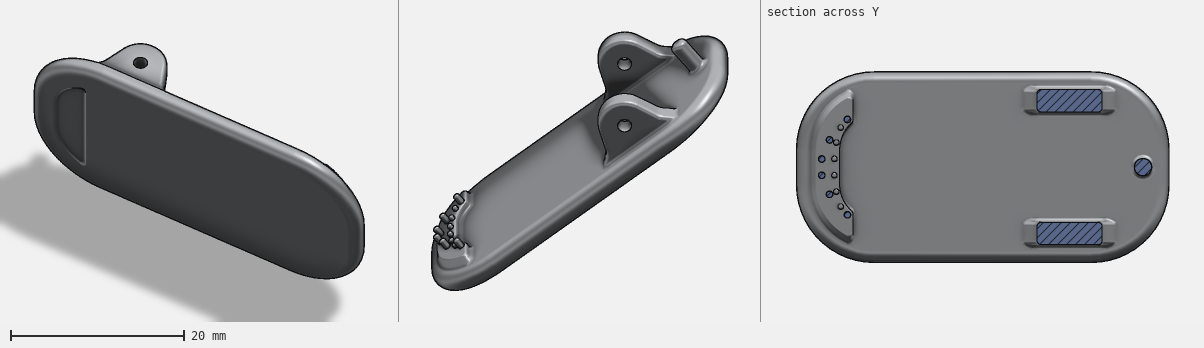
import cadquery as cq
import math

LENGTH = 43.0
HEIGHT = 22.0
THICKNESS = 2.5
CORNER_RADIUS = 9.0
RIM_RADIUS = THICKNESS / 2
CORNER_X = LENGTH / 2 - CORNER_RADIUS
CORNER_Z = HEIGHT / 2 - CORNER_RADIUS

RECESS_RADIUS = 5.85
RECESS_FLAT_X = -14.25
RECESS_DEPTH = 0.3
RECESS_WALL_DRAFT = 40.0
RECESS_CORNER_RADIUS = 0.55
RECESS_FLOOR_FILLET = 0.47
RECESS_RIM_FILLET = 0.3

LUG_X = -10.0
LUG_Z = 7.65
LUG_HEIGHT = 6.05
LUG_TIP_RADIUS = 3.05
LUG_HOLE_HEIGHT = LUG_HEIGHT - LUG_TIP_RADIUS
LUG_BASE_HALF_WIDTH = 5.4
LUG_FLARE_HEIGHT = 1.38
LUG_TIP_THICKNESS = 2.5
LUG_BASE_THICKNESS = 2.7
LUG_EDGE_FILLET = 0.5
LUG_BASE_FILLET = 0.5
LUG_FLARE_BLEND = 2.15
LUG_HOLE_DIAMETER = 1.6
LUG_FLANK_ANGLE = 22.0

PIN_X = -18.5
PIN_DIAMETER = 2.0
PIN_HEIGHT = 4.0
PIN_TIP_FILLET = 0.5
PIN_BASE_FILLET = 0.5

PAD_END_X = 14.95
PAD_OUTER_RADIUS = 7.4
PAD_INNER_RADIUS = 4.0
PAD_HEIGHT = 1.05
PAD_OUTER_DRAFT = 33.0
PAD_CORNER_FILLET = 0.5
PAD_TOP_FILLET = 0.2
PAD_BASE_FILLET = 0.45

TALL_STUDS = [(15.6, 5.5), (17.67, 3.15), (18.58, 0.95)]
SHORT_STUDS = [(16.4, 4.55), (16.9, 2.85), (17.1, 0.95)]
TALL_STUD_DIAMETER = 0.77
TALL_STUD_HEIGHT = 2.2
SHORT_STUD_DIAMETER = 0.65
SHORT_STUD_HEIGHT = 1.55
STUD_TIP_FILLET = 0.2

OVERLAP = 0.45


def plane_at(y):
    """Sketch plane parallel to XZ whose normal points to +Y; its local x is -X."""
    return cq.Plane(origin=(0, y, 0), xDir=(-1, 0, 0), normal=(0, 1, 0))


def rounded_end(radius, flat_x, y, height, direction, draft=0.0):
    """D-shaped prism: flat at flat_x, bulging toward -X or +X (direction -1 or +1)."""
    bulge_x = direction * (CORNER_X + radius)
    arc_x = direction * CORNER_X
    flat_offset = abs(flat_x) - CORNER_X
    flat_z = CORNER_Z + math.sqrt(radius**2 - flat_offset**2)
    mid_angle = (math.asin(flat_offset / radius) + math.pi / 2) / 2
    mid_x = arc_x + direction * radius * math.sin(mid_angle)
    mid_z = CORNER_Z + radius * math.cos(mid_angle)
    return (
        cq.Workplane(plane_at(y))
        .moveTo(-flat_x, -flat_z)
        .threePointArc((-mid_x, -mid_z), (-bulge_x, -CORNER_Z))
        .lineTo(-bulge_x, CORNER_Z)
        .threePointArc((-mid_x, mid_z), (-flat_x, flat_z))
        .close()
        .extrude(height, taper=draft)
    )


def make_plate():
    core_length = LENGTH - 2 * RIM_RADIUS
    core_height = HEIGHT - 2 * RIM_RADIUS
    core_radius = CORNER_RADIUS - RIM_RADIUS
    core = (
        cq.Workplane(plane_at(0))
        .rect(core_length, core_height)
        .extrude(THICKNESS)
        .edges("|Y")
        .fillet(core_radius)
    )
    path = core.faces("<Y").wires().translate((0, RIM_RADIUS, 0))
    rim_plane = cq.Plane(origin=(0, RIM_RADIUS, core_height / 2), xDir=(0, 0, 1), normal=(1, 0, 0))
    rim = cq.Workplane(rim_plane).circle(RIM_RADIUS).sweep(path)
    return core.union(rim)


def cut_recess(plate):
    """Cut the shallow recess: sloping walls, rounded into the floor and at the mouth."""
    outline = rounded_end(RECESS_RADIUS, RECESS_FLAT_X, 0, RECESS_DEPTH, -1)
    outline = outline.edges("|Y and >X").fillet(RECESS_CORNER_RADIUS).faces("<Y")
    recess = (
        outline.wires()
        .toPending()
        .workplane(invert=True)
        .extrude(RECESS_DEPTH, taper=RECESS_WALL_DRAFT, combine=False)
    )
    recess = recess.faces(">Y").edges().fillet(RECESS_FLOOR_FILLET)
    body = plate.cut(recess)
    mouth = body.faces("<Y").val().innerWires()[0]
    return body.newObject(mouth.Edges()).fillet(RECESS_RIM_FILLET)


def lug_profile():
    """Lug outline: round tip, straight tangent flanks and a flared foot."""
    angle = math.radians(LUG_FLANK_ANGLE)
    tangent_x = LUG_TIP_RADIUS * math.cos(angle)
    tangent_y = LUG_HOLE_HEIGHT + LUG_TIP_RADIUS * math.sin(angle)
    flare_x = tangent_x + (tangent_y - LUG_FLARE_HEIGHT) * math.tan(angle)
    return (
        cq.Workplane("XY", origin=(LUG_X, THICKNESS, 0))
        .moveTo(LUG_BASE_HALF_WIDTH, 0)
        .lineTo(flare_x, LUG_FLARE_HEIGHT)
        .lineTo(tangent_x, tangent_y)
        .threePointArc((0, LUG_HEIGHT), (-tangent_x, tangent_y))
        .lineTo(-flare_x, LUG_FLARE_HEIGHT)
        .lineTo(-LUG_BASE_HALF_WIDTH, 0)
        .lineTo(-LUG_BASE_HALF_WIDTH, -OVERLAP)
        .lineTo(LUG_BASE_HALF_WIDTH, -OVERLAP)
        .close()
    )


def lug_zone(bottom, top):
    """Selector for what lies between two heights above the plate's back face."""
    reach = LUG_BASE_THICKNESS
    return cq.selectors.BoxSelector(
        (-LENGTH, THICKNESS + bottom, -reach),
        (LENGTH, THICKNESS + top, reach),
    )


def make_lug():
    """Lug centred on Z = 0; its two broad faces taper toward the tip."""
    blank = lug_profile().extrude(LUG_BASE_THICKNESS, both=True)
    flare_edges = blank.edges("|Z").edges(lug_zone(LUG_FLARE_HEIGHT / 2, LUG_FLARE_HEIGHT * 3 / 2))
    blank = flare_edges.fillet(LUG_FLARE_BLEND)
    taper = (
        cq.Workplane("YZ", origin=(LUG_X, 0, 0))
        .moveTo(THICKNESS - OVERLAP, -LUG_BASE_THICKNESS / 2)
        .lineTo(THICKNESS + LUG_HEIGHT, -LUG_TIP_THICKNESS / 2)
        .lineTo(THICKNESS + LUG_HEIGHT, LUG_TIP_THICKNESS / 2)
        .lineTo(THICKNESS - OVERLAP, LUG_BASE_THICKNESS / 2)
        .close()
        .extrude(LUG_BASE_HALF_WIDTH, both=True)
    )
    lug = blank.intersect(taper)
    lug = lug.edges(lug_zone(0, 2 * LUG_HEIGHT)).edges("not |Z").fillet(LUG_EDGE_FILLET)
    hole = (
        cq.Workplane("XY")
        .center(LUG_X, THICKNESS + LUG_HOLE_HEIGHT)
        .circle(LUG_HOLE_DIAMETER / 2)
        .extrude(LUG_BASE_THICKNESS, both=True)
    )
    return lug.cut(hole)


def make_post(x, z, base_y, diameter, height):
    """Round post standing on the level base_y and sunk into it by OVERLAP."""
    post_plane = cq.Plane(origin=(x, base_y - OVERLAP, z), xDir=(0, 0, 1), normal=(0, 1, 0))
    return cq.Workplane(post_plane).circle(diameter / 2).extrude(height + OVERLAP)


def make_pin():
    pin = make_post(PIN_X, 0, THICKNESS, PIN_DIAMETER, PIN_HEIGHT)
    return pin.faces(">Y").edges().fillet(PIN_TIP_FILLET)


def make_pad():
    """Crescent with a sloping outer wall, cut off square at its two ends."""
    outer = rounded_end(PAD_OUTER_RADIUS, CORNER_X, THICKNESS, PAD_HEIGHT, 1, PAD_OUTER_DRAFT)
    inner = rounded_end(PAD_INNER_RADIUS, CORNER_X, THICKNESS, PAD_HEIGHT, 1)
    end_cutter = cq.Workplane("XY").box(PAD_END_X, LENGTH, LENGTH, centered=(False, True, True))
    pad = outer.cut(inner).cut(end_cutter)
    pad = pad.faces("<X").edges("not |Z").fillet(PAD_CORNER_FILLET)
    return pad.faces(">Y").edges().fillet(PAD_TOP_FILLET)


def make_studs(side):
    """Both rows of studs on one half of the pad; side is the sign of Z."""
    rows = [
        (TALL_STUDS, TALL_STUD_DIAMETER, TALL_STUD_HEIGHT),
        (SHORT_STUDS, SHORT_STUD_DIAMETER, SHORT_STUD_HEIGHT),
    ]
    studs = cq.Workplane("XY")
    for places, diameter, height in rows:
        for x, z in places:
            stud = make_post(x, side * z, THICKNESS + PAD_HEIGHT, diameter, height - PAD_HEIGHT)
            studs = studs.add(stud.faces(">Y").edges().fillet(STUD_TIP_FILLET))
    return studs.combine()


def blend_foot(body, x, z, radius):
    """Fillet the foot, on the plate's back face, of the feature standing at (x, z)."""
    back_level = cq.selectors.BoxSelector(
        (-CORNER_X, THICKNESS - RIM_RADIUS / 2, -CORNER_Z),
        (CORNER_X, THICKNESS + RIM_RADIUS / 2, CORNER_Z),
    )
    target = cq.Vector(x, THICKNESS, z)
    feet = body.faces("|Y").faces(back_level).val().innerWires()
    foot = min(feet, key=lambda wire: (wire.Center() - target).Length)
    return body.newObject(foot.Edges()).fillet(radius)


body = cut_recess(make_plate())
body = body.union(make_pad()).union(make_pin())
body = blend_foot(body, PAD_END_X, 0, PAD_BASE_FILLET)
body = blend_foot(body, PIN_X, 0, PIN_BASE_FILLET)
for side in (-1, 1):
    body = body.union(make_lug().translate((0, 0, side * LUG_Z)))
    body = body.union(make_studs(side))
    body = blend_foot(body, LUG_X, side * LUG_Z, LUG_BASE_FILLET)

result = body